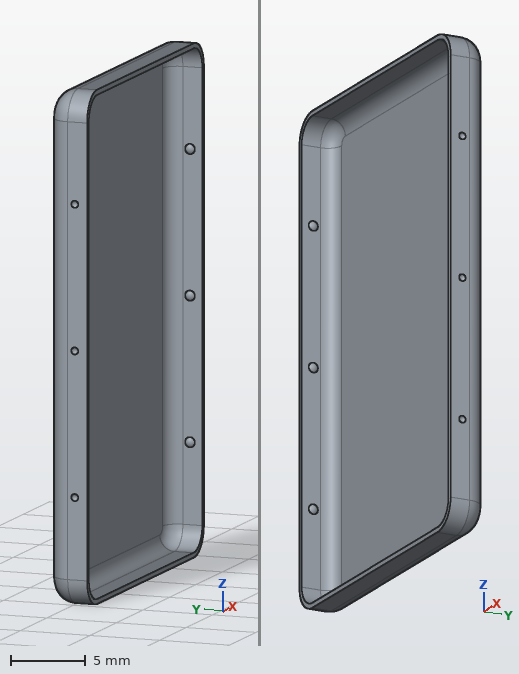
import cadquery as cq
import math

width = 22.1
depth = 2.8
height = 35.1
corner_radius = 1.93
back_fillet = 1.4
wall = 0.35

dimple_radius = 0.25
dimple_depth = 0.18
bump_radius = 0.35
bump_height = 0.18
dimple_from_rim = 0.88
dimple_spacing = 10.0
dimple_count = 3

front_y = -depth / 2


def rounded_block(inset):
    """Block with rounded corners and back edge, inset on all faces but the open front."""
    return (
        cq.Workplane("XZ", origin=(0, front_y, 0))
        .rect(width - 2 * inset, height - 2 * inset)
        .extrude(-(depth - inset))
        .edges("|Y")
        .fillet(corner_radius - inset)
        .faces(">Y")
        .edges()
        .fillet(back_fillet - inset)
    )


def cap_row(face_x, base_radius, cap_height):
    """Row of spherical caps standing on the plane at face_x and bulging toward -X."""
    ball_radius = (base_radius**2 + cap_height**2) / (2 * cap_height)
    half_angle = math.asin(base_radius / ball_radius) / 2
    arc_middle = (
        cap_height - ball_radius * (1 - math.cos(half_angle)),
        ball_radius * math.sin(half_angle),
    )
    cap = (
        cq.Workplane("XY")
        .lineTo(-cap_height, 0)
        .threePointArc((-arc_middle[0], arc_middle[1]), (0, base_radius))
        .close()
        .revolve(360, (0, 0, 0), (1, 0, 0))
    )
    row = cq.Workplane("XY")
    for i in range(dimple_count):
        z = (i - (dimple_count - 1) / 2) * dimple_spacing
        row = row.add(cap.translate((face_x, front_y + dimple_from_rim, z)))
    return row


def on_both_sides(caps):
    """All caps of the +X wall together with their mirror images on the -X wall."""
    return caps.vals() + [cap.mirror("YZ") for cap in caps.vals()]


outer_face_x = width / 2
bumps = on_both_sides(cap_row(outer_face_x - wall, bump_radius, bump_height))
dimples = on_both_sides(cap_row(outer_face_x, dimple_radius, dimple_depth))

result = rounded_block(0).cut(rounded_block(wall))
for bump in bumps:
    result = result.union(cq.Workplane(bump))
for dimple in dimples:
    result = result.cut(cq.Workplane(dimple))